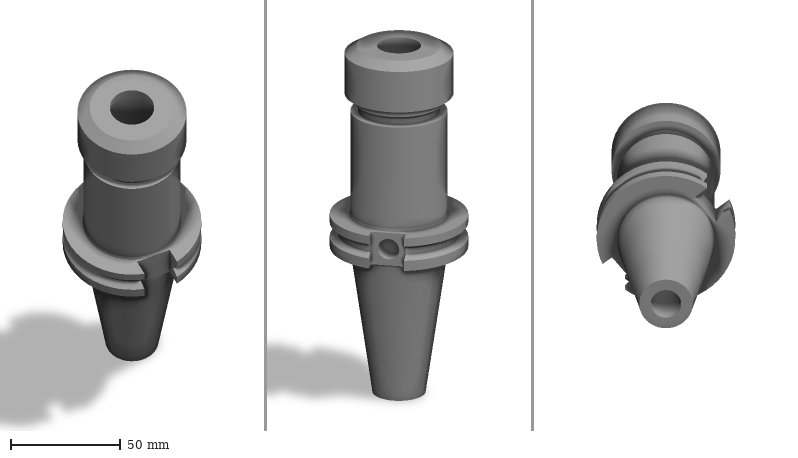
import cadquery as cq

total_height = 169.8
taper_height = 68.5
flange_bottom = 71.3
flange_top = 87.3
groove_bottom_edge = 76.3
groove_floor_bottom = 77.8
groove_floor_top = 81.0
groove_top_edge = 83.2
root_cone_height = 1.0
body_top = 138.1
neck_top = 141.1
collar_bottom = 142.5
nut_bottom = 146.5
nut_chamfer_height = 3.4

taper_end_radius = 12.2
body_radius = 22.3
flange_radius = 31.8
groove_radius = 28.0
root_radius = 22.8
neck_radius = 18.9
collar_radius = 20.4
nut_radius = 25.0
nut_face_radius = 19.4

through_bore_diameter = 14.0
collet_bore_diameter = 20.2
collet_bore_depth = 51.0

slot_width = 16.5
left_slot_floor = 25.1
right_slot_floor = 22.8
side_hole_diameter = 10.0
side_hole_depth = 6.8

flange_height = flange_top - flange_bottom
flange_middle = (flange_top + flange_bottom) / 2


def revolved_body():
    """Taper, grooved flange, body, neck and clamping nut around Z."""
    profile = [
        (0, 0),
        (taper_end_radius, 0),
        (body_radius, taper_height),
        (body_radius, flange_bottom),
        (flange_radius, flange_bottom),
        (flange_radius, groove_bottom_edge),
        (groove_radius, groove_floor_bottom),
        (groove_radius, groove_floor_top),
        (flange_radius, groove_top_edge),
        (flange_radius, flange_top),
        (root_radius, flange_top),
        (body_radius, flange_top + root_cone_height),
        (body_radius, body_top),
        (neck_radius, body_top),
        (neck_radius, neck_top),
        (collar_radius, collar_bottom),
        (collar_radius, nut_bottom),
        (nut_radius, nut_bottom),
        (nut_radius, total_height - nut_chamfer_height),
        (nut_face_radius, total_height),
        (0, total_height),
    ]
    return cq.Workplane("XZ").polyline(profile).close().revolve(360, (0, 0, 0), (0, 1, 0))


def drive_slot(side, floor):
    """Cutter for a slot through the flange; side is -1 or +1 along X."""
    length = flange_radius
    center_x = side * (floor + length / 2)
    return cq.Workplane("XY").box(length, slot_width, flange_height).translate((center_x, 0, flange_middle))


def side_hole():
    """Cutter for the blind hole running inward from the -X slot floor."""
    return (
        cq.Workplane("YZ", origin=(-left_slot_floor, 0, flange_middle))
        .circle(side_hole_diameter / 2)
        .extrude(side_hole_depth)
    )


def central_bore():
    """Cutter for the through bore and the wider collet bore at the top."""
    through = cq.Workplane("XY").circle(through_bore_diameter / 2).extrude(total_height)
    collet = (
        cq.Workplane("XY", origin=(0, 0, total_height - collet_bore_depth))
        .circle(collet_bore_diameter / 2)
        .extrude(collet_bore_depth)
    )
    return through.union(collet)


result = (
    revolved_body()
    .cut(drive_slot(-1, left_slot_floor))
    .cut(drive_slot(1, right_slot_floor))
    .cut(side_hole())
    .cut(central_bore())
)